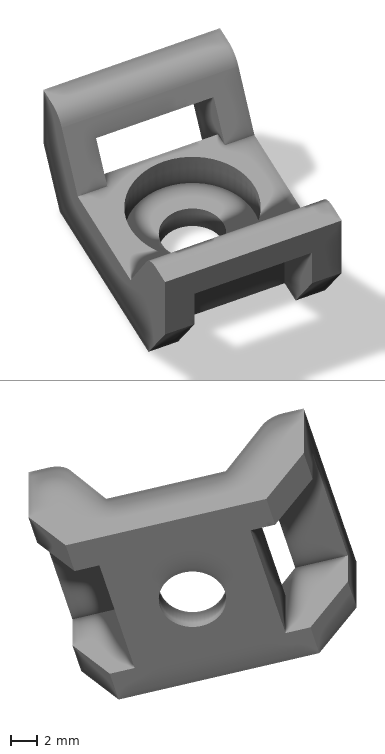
import cadquery as cq
import math

length = 22.0
width = 15.0
height = 11.0

floor_height = 5.0
floor_half_width = 4.77
wall_angle = 60.0
base_chamfer = 3.0
lip_radius = 2.0

slot_width = 9.99
slot_top = 8.5
block_length = 12.05

hole_diameter = 5.2
counterbore_diameter = 10.5
counterbore_depth = 3.0

half_length = length / 2
base_half_width = half_length - base_chamfer
mouth_half_width = floor_half_width + (height - floor_height) / math.tan(math.radians(wall_angle))


def make_saddle():
    """Extrude the cradle profile along Y and round the inner lip edges."""
    right_side = [
        (base_half_width, 0),
        (half_length, floor_height),
        (half_length, height),
        (mouth_half_width, height),
        (floor_half_width, floor_height),
    ]
    left_side = [(-x, z) for x, z in reversed(right_side)]
    saddle = cq.Workplane("XZ").polyline(right_side + left_side).close().extrude(width / 2, both=True)
    for side in (-1, 1):
        lip = cq.selectors.NearestToPointSelector((side * mouth_half_width, 0, height))
        saddle = saddle.edges("|Y").edges(lip).fillet(lip_radius)
    return saddle


def slot_box(inner_x, bottom, side):
    """Cutter from inner_x out through one side wall, from bottom up to the slot roof."""
    reach = half_length - inner_x
    return (
        cq.Workplane("XY")
        .box(reach, slot_width, slot_top - bottom, centered=(True, True, False))
        .translate((side * (inner_x + reach / 2), 0, bottom))
    )


result = make_saddle()

for side in (-1, 1):
    result = result.cut(slot_box(block_length / 2, 0, side))
    result = result.cut(slot_box(floor_half_width, floor_height, side))

result = (
    result.copyWorkplane(cq.Workplane("XY", origin=(0, 0, floor_height)))
    .cboreHole(hole_diameter, counterbore_diameter, counterbore_depth)
)